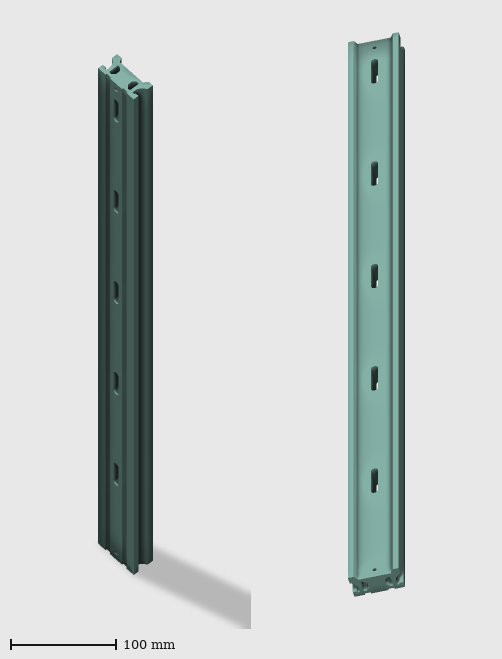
import cadquery as cq

length = 770.0
width = 50.0
depth = 25.0
half_width = width / 2
half_depth = depth / 2

back_y = half_depth
front_y = -half_depth
recess_y = back_y - 5.0
lip_y = back_y - 7.0
channel_back_y = back_y - 8.5
groove_mid_y = back_y - 12.0
channel_front_y = front_y + 5.0
flange_y = front_y + 5.0
flange_tip_y = front_y + 6.0

recess_half_width = 16.0
lip_inner_x = 19.0
flange_tip_inner_x = 21.0
groove_mid_x = 19.0
wall_foot_x = 18.5
wall_inner_x = 15.0
core_half_width = 8.5
core_chamfer = 3.0

front_groove_depth = 1.5

slot_count = 5
slot_pitch = 147.0
slot_width = 7.0
slot_length = 35.0
first_slot_from_top = 44.0
hole_diameter = 4.0
countersink_diameter = 5.5
countersink_angle = 90
hole_from_end = 10.0


def make_half_bar():
    """Half of the bar on the +X side, with a rounded side groove between lip and flange."""
    return (
        cq.Workplane("XY")
        .moveTo(0, recess_y)
        .lineTo(recess_half_width, recess_y)
        .lineTo(lip_inner_x, back_y)
        .lineTo(half_width, back_y)
        .lineTo(half_width, lip_y)
        .threePointArc((groove_mid_x, groove_mid_y), (wall_foot_x, flange_y))
        .lineTo(flange_tip_inner_x, flange_y)
        .lineTo(flange_tip_inner_x, flange_tip_y)
        .lineTo(half_width, flange_tip_y)
        .lineTo(half_width, front_y)
        .lineTo(wall_inner_x, front_y)
        .lineTo(wall_inner_x, front_y + front_groove_depth)
        .lineTo(core_half_width, front_y + front_groove_depth)
        .lineTo(core_half_width, front_y)
        .lineTo(0, front_y)
        .close()
        .extrude(length)
    )


def make_channel(side):
    """Hollow between the core and one side wall; side is 1 or -1."""
    core_corner_x = core_half_width + core_chamfer
    points = [
        (wall_inner_x, channel_front_y),
        (wall_inner_x, channel_back_y),
        (core_corner_x, channel_back_y),
        (core_half_width, channel_back_y - core_chamfer),
        (core_half_width, channel_front_y + core_chamfer),
        (core_corner_x, channel_front_y),
    ]
    outline = [(side * x, y) for x, y in points]
    return cq.Workplane("XY").polyline(outline).close().extrude(length)


def make_slots():
    centres = [
        (0, length - first_slot_from_top - index * slot_pitch)
        for index in range(slot_count)
    ]
    return (
        cq.Workplane("XZ")
        .pushPoints(centres)
        .slot2D(slot_length, slot_width, 90)
        .extrude(half_depth, both=True)
    )


def cut_end_holes(bar):
    """Drill a countersunk through hole near each end of the front face."""
    centres = [(0, hole_from_end), (0, length - hole_from_end)]
    return (
        bar.copyWorkplane(cq.Workplane("XZ", origin=(0, front_y, 0)))
        .pushPoints(centres)
        .cskHole(hole_diameter, countersink_diameter, countersink_angle)
    )


half_bar = make_half_bar()
bar = half_bar.union(half_bar.mirror("YZ")).clean()
for side in (-1, 1):
    bar = bar.cut(make_channel(side))
bar = bar.cut(make_slots())
result = cut_end_holes(bar)